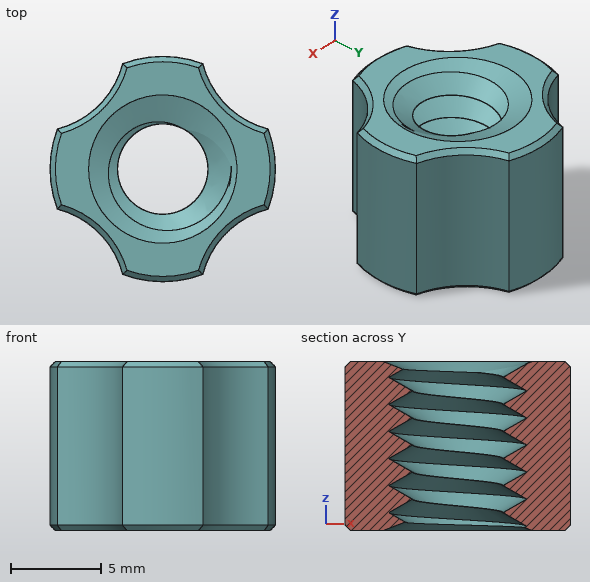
import cadquery as cq

HEIGHT = 9.375
OUTER_RADIUS = 6.25
EDGE_CHAMFER = 0.3

SCALLOP_COUNT = 4
SCALLOP_RADIUS = 5.0
SCALLOP_DEPTH = 1.25
FIRST_SCALLOP_ANGLE = 45.0

PITCH = 1.5
MINOR_RADIUS = 2.5
MAJOR_RADIUS = 3.8
THREAD_PHASE = 301.0
THREAD_OVERRUN_TURNS = 3.0
CREST_FLAT = 0.02
MOUTH_OVERCUT = 0.01

LEAD_IN_RADIUS = 4.11
LEAD_IN_DEPTH = 0.62
BORE_SEAM_ANGLE = 180.0


def knob_body():
    """Cylinder with rim scallops, chamfered along both end outlines."""
    body = cq.Workplane("XY").circle(OUTER_RADIUS).extrude(HEIGHT)
    scallop_distance = OUTER_RADIUS - SCALLOP_DEPTH + SCALLOP_RADIUS
    scallops = (
        cq.Workplane("XY")
        .polarArray(scallop_distance, FIRST_SCALLOP_ANGLE, 360, SCALLOP_COUNT)
        .circle(SCALLOP_RADIUS)
        .extrude(HEIGHT)
    )
    return body.cut(scallops).faces("<Z or >Z").edges().chamfer(EDGE_CHAMFER)


def lead_in_bore():
    """Minor bore widened by a shallow cone at each end."""
    profile = [
        (0, 0),
        (LEAD_IN_RADIUS, 0),
        (MINOR_RADIUS, LEAD_IN_DEPTH),
        (MINOR_RADIUS, HEIGHT - LEAD_IN_DEPTH),
        (LEAD_IN_RADIUS, HEIGHT),
        (0, HEIGHT),
    ]
    bore = cq.Workplane("XZ").polyline(profile).close().revolve(360, (0, 0), (0, 1))
    return bore.rotate((0, 0, 0), (0, 0, 1), BORE_SEAM_ANGLE)


def thread_groove():
    """Sharp V groove swept along a helix that runs past both ends."""
    start_z = -PITCH * (1 + THREAD_PHASE / 360)
    mouth_radius = MINOR_RADIUS - MOUTH_OVERCUT
    flank_slope = (PITCH - CREST_FLAT) / 2 / (MAJOR_RADIUS - MINOR_RADIUS)
    mouth_half_width = flank_slope * (MAJOR_RADIUS - mouth_radius)
    helix_height = HEIGHT + THREAD_OVERRUN_TURNS * PITCH
    helix = cq.Wire.makeHelix(PITCH, helix_height, MINOR_RADIUS, cq.Vector(0, 0, start_z))
    profile = [
        (mouth_radius, start_z - mouth_half_width),
        (MAJOR_RADIUS, start_z),
        (mouth_radius, start_z + mouth_half_width),
    ]
    return cq.Workplane("XZ").polyline(profile).close().sweep(helix, isFrenet=True)


result = knob_body().cut(lead_in_bore()).cut(thread_groove())